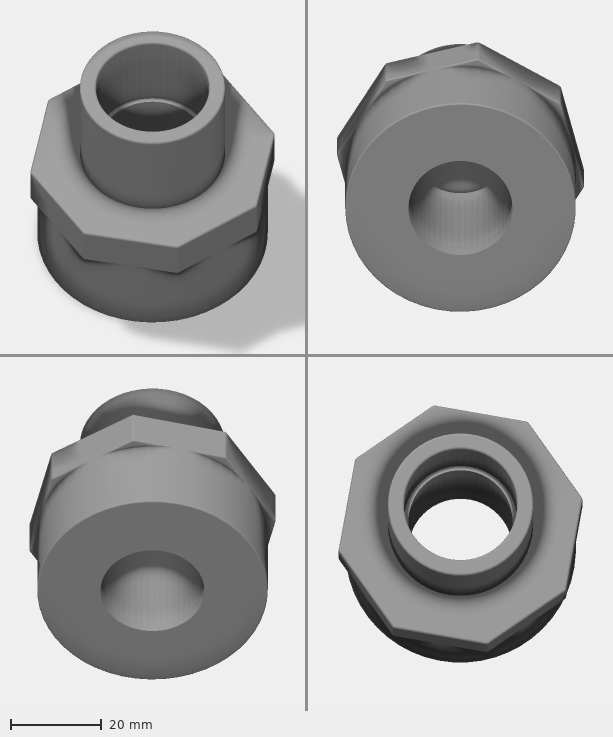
import cadquery as cq
import math

total_height = 51.3
collar_width = 51.0
body_diameter = 50.95
spigot_diameter = 32.1

collar_bottom = 19.15
collar_top = 28.4

socket_diameter = 25.0
socket_depth = 19.25
bore_diameter = 23.0

rim_radius = 0.5
collar_corner_radius = 1.0
lower_edge_radius = 0.35

collar_sides = 8
collar_corner_diameter = collar_width / math.cos(math.pi / collar_sides)


def make_body():
    """Round lower body, reaching up to the top rounding of the collar."""
    body = cq.Workplane("XY").circle(body_diameter / 2).extrude(collar_top - rim_radius)
    return body.faces("<Z").edges().fillet(lower_edge_radius)


def make_collar():
    """Octagonal wrench collar with flats facing the X and Y axes."""
    collar = (
        cq.Workplane("XY", origin=(0, 0, collar_bottom))
        .transformed(rotate=(0, 0, 180 / collar_sides))
        .polygon(collar_sides, collar_corner_diameter)
        .extrude(collar_top - collar_bottom)
    )
    collar = collar.edges("|Z").fillet(collar_corner_radius)
    collar = collar.faces(">Z").edges().fillet(rim_radius)
    return collar.faces("<Z").edges().fillet(lower_edge_radius)


def make_spigot():
    """Tube end rising from the collar, rounded at its outer rim."""
    spigot = (
        cq.Workplane("XY", origin=(0, 0, collar_bottom))
        .circle(spigot_diameter / 2)
        .extrude(total_height - collar_bottom)
    )
    return spigot.faces(">Z").edges().fillet(rim_radius)


def cut_bore(part):
    """Through bore, opened into a socket in the spigot with a rounded mouth."""
    part = part.faces(">Z").workplane().cboreHole(bore_diameter, socket_diameter, socket_depth)
    return part.faces(">Z").edges(cq.selectors.RadiusNthSelector(0)).fillet(rim_radius)


outer_shape = make_collar().union(make_body()).union(make_spigot())
result = cut_bore(outer_shape).solids()